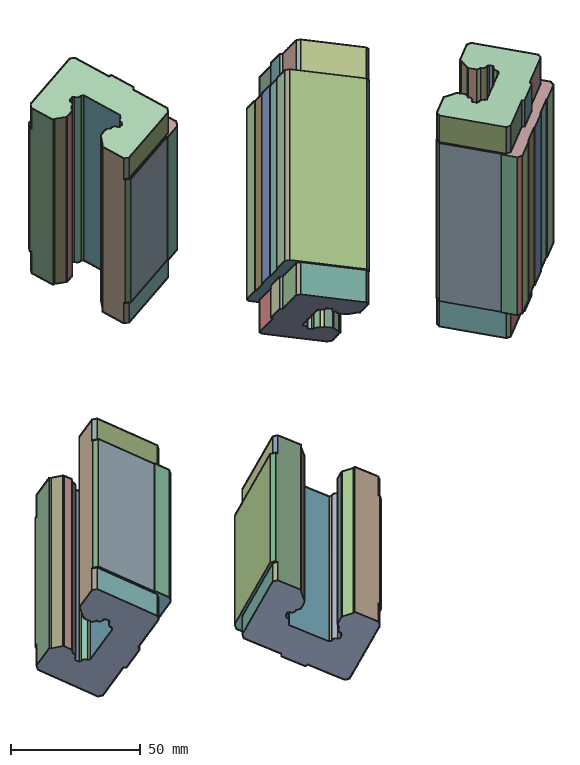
import cadquery as cq
import math

total_length = 104.9
cap_length = 13.2
block_length = total_length - 2 * cap_length

block_width = 48.0
block_height = 34.5
block_chamfer = 1.6
relief_inner_x = 4.6
relief_outer_x = 13.1
relief_depth = 0.3
ledge_height = 26.4
ledge_depth = 0.3

cap_width = 46.0
cap_height = 29.6
cap_top_chamfer = 1.4
cap_bottom_chamfer = 1.5
hump_height = 1.0
hump_top_width = 10.4
hump_base_width = 11.4

channel_height = 16.5
ceiling_half_width = 8.5
ceiling_bevel = 0.7
lip_half_width = ceiling_half_width + ceiling_bevel
throat_half_width = 7.9
throat_top = 7.9
throat_bottom = 4.5
throat_bevel_x = 0.2
throat_bevel_y = 0.5
mouth_half_width = 11.5
mouth_bevel_x = 0.3
mouth_bevel_y = 0.7

groove_center_y = 12.5
groove_half_width = 11.6
groove_floor_width = 1.6
groove_mouth_width = 2.7
lip_radius = 1.8
lower_lip_bottom = 9.1


def block():
    """Chamfered block with two shallow reliefs on top and a ledge along the +X side."""
    body = (
        cq.Workplane("XY")
        .box(block_width, block_height, block_length, centered=(True, False, False))
        .edges("|Z")
        .chamfer(block_chamfer)
    )
    relief_width = relief_outer_x - relief_inner_x
    relief_center_x = (relief_inner_x + relief_outer_x) / 2
    reliefs = (
        cq.Workplane("XY")
        .pushPoints([(side * relief_center_x, block_height) for side in (-1, 1)])
        .rect(relief_width, 2 * relief_depth)
        .extrude(block_length)
    )
    set_back_x = block_width / 2 - ledge_depth
    ledge = (
        cq.Workplane("XY")
        .moveTo(set_back_x - block_chamfer, 0)
        .lineTo(set_back_x, block_chamfer)
        .lineTo(set_back_x, ledge_height)
        .lineTo(block_width / 2, ledge_height)
        .lineTo(block_width / 2, 0)
        .close()
        .extrude(block_length)
    )
    return body.cut(reliefs).cut(ledge).translate((0, 0, cap_length))


def end_cap(bottom_z):
    """Chamfered plate with a low sloped hump in the middle of its top."""
    side_x = cap_width / 2
    hump_top = cap_height + hump_height
    right_side = [
        (side_x - cap_bottom_chamfer, 0),
        (side_x, cap_bottom_chamfer),
        (side_x, cap_height - cap_top_chamfer),
        (side_x - cap_top_chamfer, cap_height),
        (hump_base_width / 2, cap_height),
        (hump_top_width / 2, hump_top),
    ]
    left_side = [(-x, y) for x, y in reversed(right_side)]
    return (
        cq.Workplane("XY", origin=(0, 0, bottom_z))
        .polyline(right_side + left_side)
        .close()
        .extrude(cap_length)
    )


def half_channel():
    """Half of the rail channel on the +X side, over the full length."""
    lip_inner_x = lip_half_width + lip_radius
    lip_offset = groove_mouth_width / 2 + lip_radius
    arc_middle = lip_radius * math.sqrt(0.5)
    upper_lip_y = groove_center_y + lip_offset
    lower_lip_y = groove_center_y - lip_offset
    return (
        cq.Workplane("XY")
        .lineTo(mouth_half_width, 0)
        .lineTo(mouth_half_width - mouth_bevel_x, mouth_bevel_y)
        .lineTo(throat_half_width + throat_bevel_x, throat_bottom - throat_bevel_y)
        .lineTo(throat_half_width, throat_bottom)
        .lineTo(throat_half_width, throat_top)
        .lineTo(lip_half_width, lower_lip_bottom)
        .lineTo(lip_half_width, lower_lip_y)
        .threePointArc(
            (lip_inner_x - arc_middle, lower_lip_y + arc_middle),
            (lip_inner_x, lower_lip_y + lip_radius),
        )
        .lineTo(groove_half_width, groove_center_y - groove_floor_width / 2)
        .lineTo(groove_half_width, groove_center_y + groove_floor_width / 2)
        .lineTo(lip_inner_x, upper_lip_y - lip_radius)
        .threePointArc(
            (lip_inner_x - arc_middle, upper_lip_y - arc_middle),
            (lip_half_width, upper_lip_y),
        )
        .lineTo(lip_half_width, channel_height - ceiling_bevel)
        .lineTo(ceiling_half_width, channel_height)
        .lineTo(0, channel_height)
        .close()
        .extrude(total_length)
    )


carriage = block().union(end_cap(0)).union(end_cap(total_length - cap_length))
channel_right = half_channel()
result = carriage.cut(channel_right).cut(channel_right.mirror("YZ"))